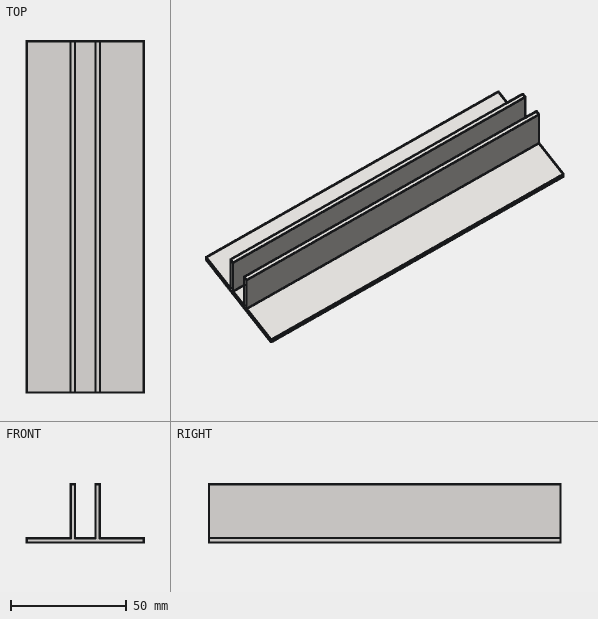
import cadquery as cq

length = 152.4
base_width = 50.7
total_height = 25.5

base_thickness = 2.0
web_thickness = 2.0
web_gap = 8.7

base = cq.Workplane("XY").box(base_width, length, base_thickness, centered=(True, True, False))


def upright_web(side):
    """Full-length web standing on the base, on the -X (-1) or +X (+1) side."""
    center_x = side * (web_gap + web_thickness) / 2
    return (
        cq.Workplane("XY")
        .center(center_x, 0)
        .box(web_thickness, length, total_height, centered=(True, True, False))
    )


result = base
for side in (-1, 1):
    result = result.union(upright_web(side))